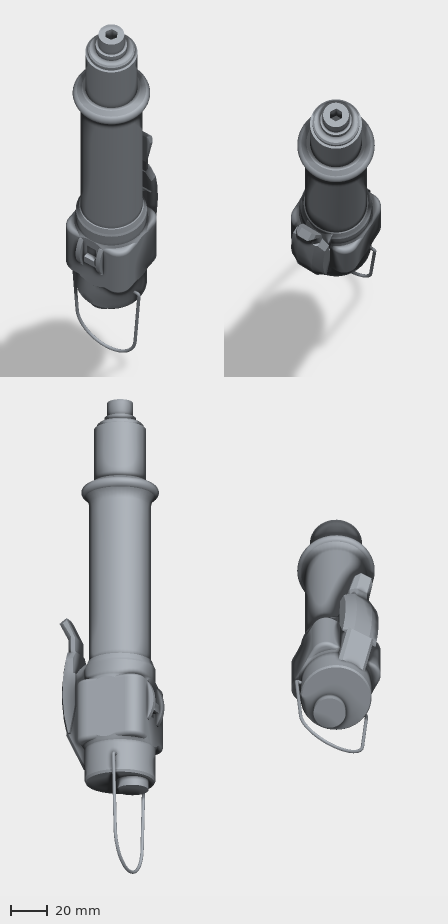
import cadquery as cq
import math

BODY_R = 19.25
TUBE_R = 16.8
NOSE_R = 14.1
NOSE_CAP_R = 12.7
SPINDLE_COLLAR_R = 8.5
SPINDLE_R = 7.0
TOP_Z = 217.14

BODY_EDGE_RADIAL = 0.7
BODY_EDGE_HEIGHT = 1.4
COLLAR_TOP_Z = 64.2
COLLAR_LIP_R = 18.6
COLLAR_LIP_Z = 65.4
TUBE_START_Z = 68.4
SHOULDER_TOP_R = 17.5

RING_START_Z = 157.7
RING_FLUTE_R = 17.3
RING_FLUTE_Z = 160.7
RING_NECK_R = 18.8
RING_NECK_Z = 163.2
RING_R = 20.9
RING_MID_Z = 166.7
RING_CREST_R = 18.7
RING_CREST_Z = 168.8
RING_TOP_R = 16.0
RING_TOP_Z = 170.6

NOSE_TOP_Z = 201.8
NOSE_CAP_TOP_Z = 204.8
NOSE_CAP_BEVEL = 0.9
SPINDLE_START_Z = 208.4

HEX_ACROSS_FLATS = 6.35
HEX_DEPTH = 12.0

BLOCK_HALF_X = 20.3
BLOCK_HALF_Y = BODY_R
BLOCK_CORNER_R = 8.0
BLOCK_BOTTOM_Z = 20.0
BLOCK_TOP_Z = 55.0
BLOCK_EDGE_R = 2.1
FLARE_RADIAL = 2.0
FLARE_HEIGHT = 3.7
FLARE_OVERHANG = 1.6

STUB_R = 8.7
STUB_Y = -7.2
STUB_LENGTH = 5.1

BAIL_Y = -5.0
WIRE_R = 0.9
BAIL_PIN_Z = 10.0
BAIL_OUTER_WIDTH = 44.99
BAIL_LOWEST_Z = -51.8
BAIL_HALF_WIDTH = BAIL_OUTER_WIDTH / 2 - WIRE_R
BAIL_BEND_R = 1.4
BAIL_BOTTOM_Z = BAIL_LOWEST_Z + WIRE_R
BAIL_ARC_R = 19.1
PIN_EMBED_X = 16.0

RIB_X = 6.5
RIB_WIDTH = 2.7
RIB_BOTTOM_Z = 32.0
RIB_TOP_Z = 53.2
RIB_HEIGHT = 3.5
RIB_SLOT_WIDTH = 3.7
RIB_SLOT_MARGIN = 0.7
RECESS_DEPTH = 1.0
FEATURE_EMBED = 2.0

SWITCH_WIDTH = 6.2
SWITCH_BOTTOM_Z = 34.6
SWITCH_TOP_Z = 50.2
KNOB_BOTTOM_Z = 37.9
KNOB_TOP_Z = 42.7
KNOB_HEIGHT = 2.1

LEVER_WIDTH = 20.4
LEVER_BEVEL_DEPTH = 2.6
LEVER_BEVEL_WIDTH = 5.5
LEVER_BACK_Y = 32.0
TONGUE_BACK_Y = 29.0
LEVER_BELLY_Z = 48.0
LEVER_LOW_Z = 28.8
LEVER_INNER_Y = 23.3
LEVER_FLANK_Y = 22.3
LEVER_HEEL_Y = 25.6
FLANK_TOP_Z = 62.5
FLANK_BOTTOM_Z = 44.0
SHOULDER_LOW_Z = 71.2
SHOULDER_HIGH_Z = 76.2

TONGUE_WIDTH = 12.0
TONGUE_BEVEL = 2.8
TONGUE_INNER_Y = 24.0
TONGUE_BEND_Z = 84.5
TIP_WIDTH = 10.4
TIP_INNER_Y = 29.9
TIP_BACK_Y = 34.14
TIP_BACK_Z = 94.4
TOP_OF_LEVER_Z = 97.2

MOUNT_WIDTH = 16.0
MOUNT_TOP_Z = 67.4
MOUNT_BROW_Y = 20.4
MOUNT_BROW_Z = 64.8
MOUNT_ROOT_Y = 14.0
STRAP_END_Y = 18.8
STRAP_END_Z = 8.0
STRAP_BEVEL = 1.8


def turned_body():
    """Body, collar, tube, ring, nose and spindle in one revolution."""
    profile = (
        cq.Workplane("XZ")
        .moveTo(0, 0)
        .lineTo(BODY_R - BODY_EDGE_RADIAL, 0)
        .lineTo(BODY_R, BODY_EDGE_HEIGHT)
        .lineTo(BODY_R, COLLAR_TOP_Z)
        .lineTo(COLLAR_LIP_R, COLLAR_LIP_Z)
        .lineTo(SHOULDER_TOP_R, TUBE_START_Z)
        .lineTo(TUBE_R, TUBE_START_Z)
        .lineTo(TUBE_R, RING_START_Z)
        .threePointArc((RING_FLUTE_R, RING_FLUTE_Z), (RING_NECK_R, RING_NECK_Z))
        .threePointArc((RING_R, RING_MID_Z), (RING_CREST_R, RING_CREST_Z))
        .lineTo(RING_TOP_R, RING_TOP_Z)
        .lineTo(NOSE_R, RING_TOP_Z)
        .lineTo(NOSE_R, NOSE_TOP_Z)
        .lineTo(NOSE_CAP_R, NOSE_TOP_Z)
        .lineTo(NOSE_CAP_R, NOSE_CAP_TOP_Z - NOSE_CAP_BEVEL)
        .lineTo(NOSE_CAP_R - NOSE_CAP_BEVEL, NOSE_CAP_TOP_Z)
        .lineTo(SPINDLE_COLLAR_R, NOSE_CAP_TOP_Z)
        .lineTo(SPINDLE_COLLAR_R, SPINDLE_START_Z)
        .lineTo(SPINDLE_R, SPINDLE_START_Z)
        .lineTo(SPINDLE_R, TOP_Z)
        .lineTo(0, TOP_Z)
        .close()
    )
    return profile.revolve(360, (0, 0, 0), (0, 1, 0))


def rounded_prism(z_low, z_high):
    """Plain prism with the housing's rounded-rectangle outline."""
    return (
        cq.Workplane("XY")
        .workplane(offset=z_low)
        .rect(2 * BLOCK_HALF_X, 2 * BLOCK_HALF_Y)
        .extrude(z_high - z_low)
        .edges("|Z")
        .fillet(BLOCK_CORNER_R)
    )


def switch_housing():
    """Square housing with rounded end edges, blended into the round body by cones."""
    block = rounded_prism(BLOCK_BOTTOM_Z, BLOCK_TOP_Z)
    block = block.faces("<Z or >Z").edges().fillet(BLOCK_EDGE_R)
    flare_low = BLOCK_BOTTOM_Z - FLARE_OVERHANG
    flare_high = BLOCK_TOP_Z + FLARE_OVERHANG
    flare_r = BODY_R + FLARE_RADIAL
    flare = (
        cq.Workplane("XZ")
        .moveTo(0, flare_low)
        .lineTo(BODY_R, flare_low)
        .lineTo(flare_r, flare_low + FLARE_HEIGHT)
        .lineTo(flare_r, flare_high - FLARE_HEIGHT)
        .lineTo(BODY_R, flare_high)
        .lineTo(0, flare_high)
        .close()
        .revolve(360, (0, 0, 0), (0, 1, 0))
    )
    return block.union(flare.intersect(rounded_prism(flare_low, flare_high)))


def connector_stub():
    """Round connector set off-centre under the body."""
    base = cq.Workplane("XY", origin=(0, STUB_Y, -STUB_LENGTH))
    return base.circle(STUB_R).extrude(STUB_LENGTH + FEATURE_EMBED)


def bail():
    """Round-wire loop whose two ends plug into the sides of the body."""
    arc_center_z = BAIL_BOTTOM_Z + BAIL_ARC_R
    bend_z = BAIL_PIN_Z - BAIL_BEND_R
    distance = math.hypot(BAIL_HALF_WIDTH, bend_z - arc_center_z)
    touch_angle = math.atan2(bend_z - arc_center_z, BAIL_HALF_WIDTH) - math.acos(BAIL_ARC_R / distance)
    touch_x = BAIL_ARC_R * math.cos(touch_angle)
    touch_z = arc_center_z + BAIL_ARC_R * math.sin(touch_angle)
    bend_x = BAIL_HALF_WIDTH - BAIL_BEND_R
    bend_mid = BAIL_BEND_R * math.sqrt(0.5)
    path = (
        cq.Workplane("XZ", origin=(0, BAIL_Y, 0))
        .moveTo(-PIN_EMBED_X, BAIL_PIN_Z)
        .lineTo(-bend_x, BAIL_PIN_Z)
        .threePointArc((-bend_x - bend_mid, bend_z + bend_mid), (-BAIL_HALF_WIDTH, bend_z))
        .lineTo(-touch_x, touch_z)
        .threePointArc((0, BAIL_BOTTOM_Z), (touch_x, touch_z))
        .lineTo(BAIL_HALF_WIDTH, bend_z)
        .threePointArc((bend_x + bend_mid, bend_z + bend_mid), (bend_x, BAIL_PIN_Z))
        .lineTo(PIN_EMBED_X, BAIL_PIN_Z)
    )
    section = cq.Workplane("YZ", origin=(-PIN_EMBED_X, BAIL_Y, BAIL_PIN_Z)).circle(WIRE_R)
    return section.sweep(path, transition="round")


def bit_socket():
    across_corners = HEX_ACROSS_FLATS / math.cos(math.pi / 6)
    return cq.Workplane("XY").workplane(offset=TOP_Z).polygon(6, across_corners).extrude(-HEX_DEPTH)


def side_plate(outline, width):
    """Extrude a closed (y, z) outline symmetrically about the plane x = 0."""
    return cq.Workplane("YZ").polyline(outline).close().extrude(width / 2, both=True)


def guard_rib(x):
    """Arched fin that shields one side of the switch."""
    mid_z = (RIB_BOTTOM_Z + RIB_TOP_Z) / 2
    root_y = -BLOCK_HALF_Y + FEATURE_EMBED
    return (
        cq.Workplane("YZ", origin=(x, 0, 0))
        .moveTo(root_y, RIB_BOTTOM_Z)
        .lineTo(-BLOCK_HALF_Y, RIB_BOTTOM_Z)
        .threePointArc((-BLOCK_HALF_Y - RIB_HEIGHT, mid_z), (-BLOCK_HALF_Y, RIB_TOP_Z))
        .lineTo(root_y, RIB_TOP_Z)
        .close()
        .extrude(RIB_WIDTH / 2, both=True)
    )


def rib_slot(x):
    mid_z = (RIB_BOTTOM_Z + RIB_TOP_Z) / 2
    length = RIB_TOP_Z - RIB_BOTTOM_Z + 2 * RIB_SLOT_MARGIN
    face = cq.Workplane("XZ", origin=(x, -BLOCK_HALF_Y, mid_z))
    return face.slot2D(length, RIB_SLOT_WIDTH, 90).extrude(-RECESS_DEPTH)


def switch_window():
    mid_z = (SWITCH_BOTTOM_Z + SWITCH_TOP_Z) / 2
    face = cq.Workplane("XZ", origin=(0, -BLOCK_HALF_Y, mid_z))
    return face.rect(SWITCH_WIDTH, SWITCH_TOP_Z - SWITCH_BOTTOM_Z).extrude(-RECESS_DEPTH)


def switch_knob():
    mid_z = (KNOB_BOTTOM_Z + KNOB_TOP_Z) / 2
    depth = KNOB_HEIGHT + FEATURE_EMBED
    face = cq.Workplane("XZ", origin=(0, -BLOCK_HALF_Y - KNOB_HEIGHT, mid_z))
    return face.rect(SWITCH_WIDTH, KNOB_TOP_Z - KNOB_BOTTOM_Z).extrude(-depth)


def front_outline_prism(half_outline):
    """Prism along Y from the right half, listed as (x, z), of a symmetric outline."""
    mirrored = [(-x, z) for x, z in reversed(half_outline)]
    prism = cq.Workplane("XZ").polyline(half_outline + mirrored).close()
    return prism.extrude(-2 * LEVER_BACK_Y)


def lever_handle():
    """Broad curved grip with a bevelled back and tapered upper shoulders."""
    grip = (
        cq.Workplane("YZ")
        .moveTo(LEVER_INNER_Y, SHOULDER_HIGH_Z)
        .lineTo(TONGUE_BACK_Y, SHOULDER_HIGH_Z)
        .threePointArc((LEVER_BACK_Y, LEVER_BELLY_Z), (TONGUE_BACK_Y, LEVER_LOW_Z))
        .lineTo(LEVER_HEEL_Y, LEVER_LOW_Z)
        .lineTo(LEVER_FLANK_Y, FLANK_BOTTOM_Z)
        .lineTo(LEVER_FLANK_Y, FLANK_TOP_Z)
        .lineTo(LEVER_INNER_Y, FLANK_TOP_Z)
        .close()
        .extrude(LEVER_WIDTH / 2, both=True)
    )
    grip = grip.edges("%CIRCLE").chamfer(LEVER_BEVEL_WIDTH, LEVER_BEVEL_DEPTH)
    shoulders = front_outline_prism([
        (LEVER_WIDTH / 2, LEVER_LOW_Z),
        (LEVER_WIDTH / 2, SHOULDER_LOW_Z),
        (TONGUE_WIDTH / 2, SHOULDER_HIGH_Z),
    ])
    return grip.intersect(shoulders)


def lever_tongue():
    """Narrow finger tab that bends away from the tube at its tip."""
    outline = [
        (LEVER_INNER_Y, SHOULDER_LOW_Z),
        (TONGUE_INNER_Y, SHOULDER_HIGH_Z),
        (TONGUE_INNER_Y, TONGUE_BEND_Z),
        (TIP_INNER_Y, TOP_OF_LEVER_Z),
        (TIP_BACK_Y, TIP_BACK_Z),
        (TONGUE_BACK_Y, TONGUE_BEND_Z),
        (TONGUE_BACK_Y, SHOULDER_LOW_Z),
    ]
    tab = side_plate(outline, TONGUE_WIDTH)
    back_corner = cq.selectors.BoxSelector(
        (-TONGUE_WIDTH, TONGUE_BACK_Y - FEATURE_EMBED, SHOULDER_HIGH_Z),
        (TONGUE_WIDTH, TIP_BACK_Y, TOP_OF_LEVER_Z),
    )
    tab = tab.edges("not(|X)").edges(back_corner).chamfer(TONGUE_BEVEL)
    taper = front_outline_prism([
        (TONGUE_WIDTH / 2, SHOULDER_LOW_Z),
        (TONGUE_WIDTH / 2, TONGUE_BEND_Z),
        (TIP_WIDTH / 2, TOP_OF_LEVER_Z),
    ])
    return tab.intersect(taper)


def lever_mount():
    """Bracket on the back of the housing, running down into a sloping strap."""
    outline = [
        (MOUNT_ROOT_Y, MOUNT_TOP_Z),
        (TUBE_R, MOUNT_TOP_Z),
        (MOUNT_BROW_Y, MOUNT_BROW_Z),
        (LEVER_FLANK_Y, FLANK_TOP_Z),
        (LEVER_FLANK_Y, FLANK_BOTTOM_Z),
        (TONGUE_BACK_Y, LEVER_LOW_Z),
        (STRAP_END_Y, STRAP_END_Z),
        (MOUNT_ROOT_Y, STRAP_END_Z),
    ]
    strap_back = cq.selectors.BoxSelector(
        (-MOUNT_WIDTH, STRAP_END_Y, STRAP_END_Z),
        (MOUNT_WIDTH, TONGUE_BACK_Y, LEVER_LOW_Z),
    )
    mount = side_plate(outline, MOUNT_WIDTH)
    return mount.edges("not(|X)").edges(strap_back).chamfer(STRAP_BEVEL)


result = turned_body().union(switch_housing()).union(connector_stub()).union(bail())
for rib_x in (-RIB_X, RIB_X):
    result = result.cut(rib_slot(rib_x)).union(guard_rib(rib_x))
result = result.cut(switch_window()).union(switch_knob())
result = result.union(lever_mount()).union(lever_handle()).union(lever_tongue())
result = result.cut(bit_socket())